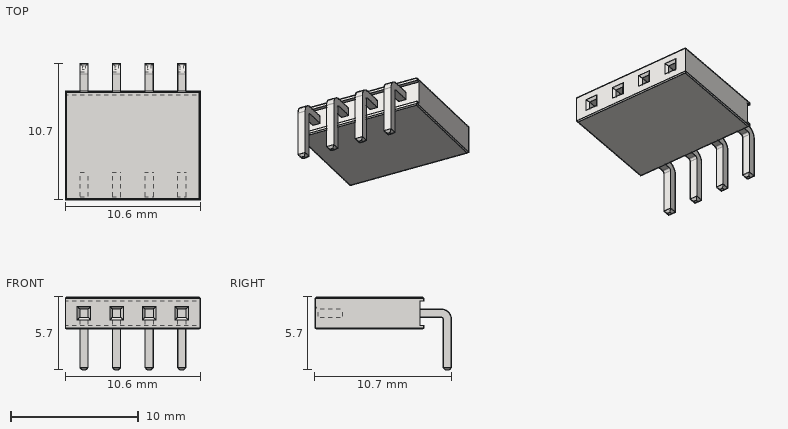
import cadquery as cq

housing_width = 10.56
housing_length = 8.5
housing_height = 2.49
edge_chamfer = 0.1

channel_depth = 0.3
lip_thickness = 0.3

contact_count = 4
contact_pitch = 2.55
contact_positions = [
    (index - (contact_count - 1) / 2) * contact_pitch for index in range(contact_count)
]

pin_size = 0.65
bend_inner_radius = 0.17
bend_outer_radius = bend_inner_radius + pin_size
tip_chamfer = 0.19
overall_length = 10.65
overall_height = 5.7
pin_start = housing_length - channel_depth
pin_bottom = housing_height / 2 - overall_height

socket_mouth = 1.05
socket_hole = pin_size
lead_in_depth = (socket_mouth - socket_hole) / 2
socket_depth = 2.13


def make_housing():
    """Block with chamfered top and bottom rims and a channel across its rear face."""
    block = (
        cq.Workplane("XY")
        .box(housing_width, housing_length, housing_height, centered=(True, False, True))
        .faces("<Z or >Z")
        .edges()
        .chamfer(edge_chamfer)
    )
    channel = (
        cq.Workplane("XY")
        .box(
            housing_width,
            channel_depth,
            housing_height - 2 * lip_thickness,
            centered=(True, False, True),
        )
        .translate((0, pin_start, 0))
    )
    return block.cut(channel)


def make_socket(x):
    """Cutter for one socket: square hole with a tapered lead-in at the mating face."""
    lead_in = (
        cq.Workplane("XZ")
        .rect(socket_mouth, socket_mouth)
        .workplane(offset=-lead_in_depth)
        .rect(socket_hole, socket_hole)
        .loft(ruled=True)
    )
    hole = cq.Workplane("XZ").rect(socket_hole, socket_hole).extrude(-socket_depth)
    return lead_in.union(hole).translate((x, 0, 0))


def make_pin(x):
    """Pin leaving the channel floor, bent down and ending in a chamfered tip."""
    horizontal_leg = (
        cq.Workplane("XY")
        .box(pin_size, overall_length - pin_start, pin_size, centered=(True, False, True))
        .translate((0, pin_start, 0))
    )
    vertical_leg = (
        cq.Workplane("XY")
        .box(pin_size, pin_size, pin_size / 2 - pin_bottom, centered=(True, False, False))
        .translate((0, overall_length - pin_size, pin_bottom))
        .faces("<Z")
        .chamfer(tip_chamfer)
    )
    outer_corner = cq.selectors.NearestToPointSelector((0, overall_length, pin_size / 2))
    inner_corner = cq.selectors.NearestToPointSelector((0, overall_length - pin_size, -pin_size / 2))
    pin = horizontal_leg.union(vertical_leg)
    pin = pin.edges("|X").edges(outer_corner).fillet(bend_outer_radius)
    pin = pin.edges("|X").edges(inner_corner).fillet(bend_inner_radius)
    return pin.translate((x, 0, 0))


result = make_housing()
for contact_x in contact_positions:
    result = result.cut(make_socket(contact_x)).union(make_pin(contact_x))

result = result.translate((0, -overall_length / 2, 0))